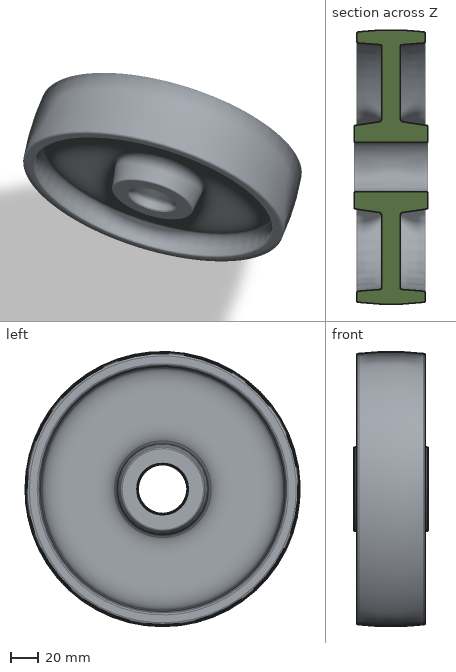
import cadquery as cq

wheel_radius = 100.0
rim_width = 50.0
crown_drop = 1.5
rim_mouth_radius = 90.2
rim_floor_radius = 88.8

web_thickness = 14.0

hub_length = 54.0
hub_end_radius = 30.5
hub_base_radius = 33.5
bore_radius = 17.8
bore_chamfer = 0.8

tread_fillet = 1.5
rim_mouth_fillet = 1.2
rim_floor_fillet = 1.0
hub_base_fillet = 2.0
hub_end_fillet = 1.0

half_rim = rim_width / 2
half_web = web_thickness / 2
half_hub = hub_length / 2
shoulder_radius = wheel_radius - crown_drop


def turned_blank():
    """Wheel with a crowned tread, recessed web and tapered hub, all corners sharp."""
    profile = (
        cq.Workplane("XY")
        .moveTo(-half_hub, bore_radius)
        .lineTo(-half_hub, hub_end_radius)
        .lineTo(-half_web, hub_base_radius)
        .lineTo(-half_web, rim_floor_radius)
        .lineTo(-half_rim, rim_mouth_radius)
        .lineTo(-half_rim, shoulder_radius)
        .threePointArc((0, wheel_radius), (half_rim, shoulder_radius))
        .lineTo(half_rim, rim_mouth_radius)
        .lineTo(half_web, rim_floor_radius)
        .lineTo(half_web, hub_base_radius)
        .lineTo(half_hub, hub_end_radius)
        .lineTo(half_hub, bore_radius)
        .close()
    )
    return profile.revolve(360, (0, 0, 0), (1, 0, 0))


def ring_edges(body, half_width, radius):
    """The two circular edges of the given radius at X = -half_width and X = +half_width."""
    tolerance = 0.02

    def on_ring(edge):
        point = edge.startPoint()
        edge_radius = (point.y**2 + point.z**2) ** 0.5
        at_plane = abs(abs(point.x) - half_width) < tolerance
        return edge.geomType() == "CIRCLE" and at_plane and abs(edge_radius - radius) < tolerance

    return body.edges().filter(on_ring)


rounded_rings = [
    (half_rim, shoulder_radius, tread_fillet),
    (half_rim, rim_mouth_radius, rim_mouth_fillet),
    (half_web, rim_floor_radius, rim_floor_fillet),
    (half_web, hub_base_radius, hub_base_fillet),
    (half_hub, hub_end_radius, hub_end_fillet),
]

result = turned_blank()
for ring_position, ring_radius, fillet_radius in rounded_rings:
    result = ring_edges(result, ring_position, ring_radius).fillet(fillet_radius)
result = ring_edges(result, half_hub, bore_radius).chamfer(bore_chamfer)